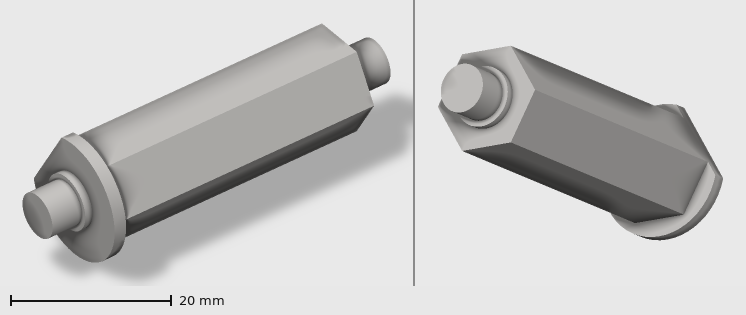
import cadquery as cq
import math

total_length = 52.5
pin_diameter = 6.25
pin_length = 4.5
collar_diameter = 7.75
collar_length = 1.1
flange_diameter = 17.0
flange_thickness = 1.8
hex_across_flats = 12.5
hex_across_corners = hex_across_flats / math.cos(math.pi / 6)
flat_tilt = 30

front_end = -total_length / 2
front_collar = front_end + pin_length
flange_front = front_collar + collar_length
hex_end = total_length / 2 - pin_length - collar_length


def section_plane(y):
    """Plane at the given Y, extruding toward +Y, with local x along -X and local y along Z."""
    return cq.Workplane(cq.Plane(origin=(0, y, 0), xDir=(-1, 0, 0), normal=(0, 1, 0)))


def cylinder(y_start, y_end, diameter):
    return section_plane(y_start).circle(diameter / 2).extrude(y_end - y_start)


def hex_body():
    """Hexagonal bar with corners at +X and -X."""
    return (
        section_plane(flange_front)
        .polygon(6, hex_across_corners)
        .extrude(hex_end - flange_front)
    )


def flange():
    """Disc with one side cut flush with a hexagon face."""
    disc = cylinder(flange_front, flange_front + flange_thickness, flange_diameter)
    cutter = (
        section_plane(flange_front)
        .center(hex_across_flats / 2 + flange_diameter / 2, 0)
        .rect(flange_diameter, flange_diameter)
        .extrude(flange_thickness)
        .rotate((0, 0, 0), (0, 1, 0), flat_tilt)
    )
    return disc.cut(cutter)


pins = cylinder(front_end, total_length / 2, pin_diameter)
collars = cylinder(front_collar, hex_end + collar_length, collar_diameter)

result = hex_body().union(flange()).union(collars).union(pins)